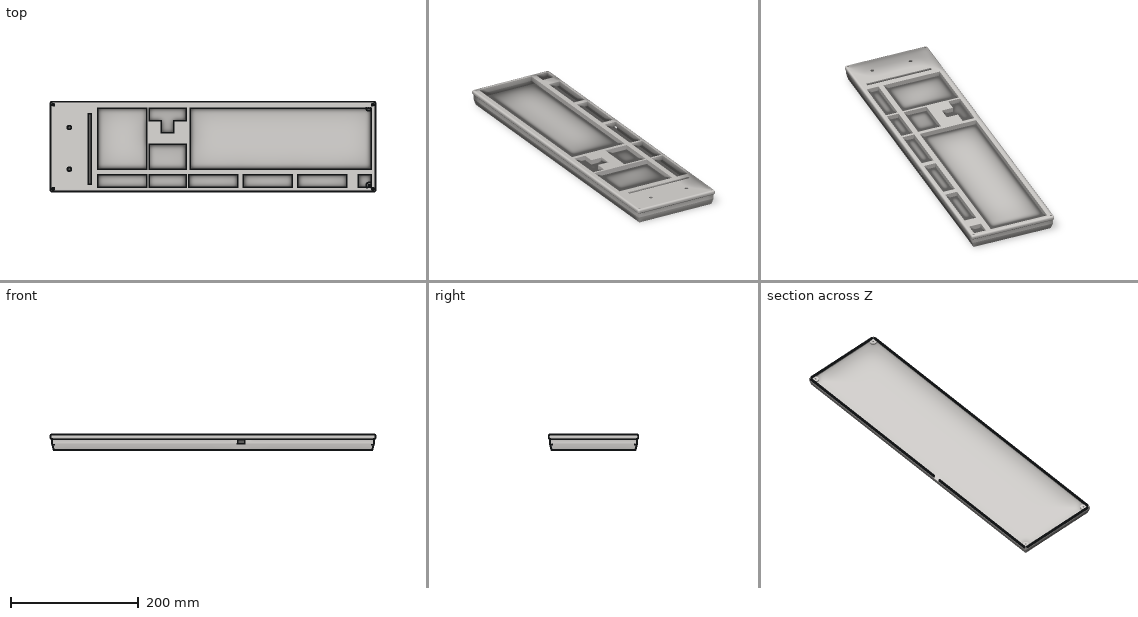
import cadquery as cq
import math

overall_height = 24.6
case_length = 505.0
case_width = 137.0
case_height = 17.0
case_wall = 2.5
taper_height = 10.0
taper_angle = 15.0
floor_top = taper_height
cavity_length = case_length - 2 * case_wall
cavity_width = case_width - 2 * case_wall

standoff_diameter = 10.0
standoff_hole_diameter = 2.8
standoff_height = 3.0
standoff_x = cavity_length / 2 - standoff_diameter / 2
standoff_y = cavity_width / 2 - standoff_diameter / 2

port_center_x = 44.2
port_width = 11.0
port_height = 6.0

lid_length = 510.0
lid_width = 141.0
lid_thickness = overall_height - case_height
lid_edge_radius = 3.0

key_pitch = 19.0
key_clearance = 1.0
key_field_rows = 5
key_field_bottom = -35.4
function_row_bottom = -64.0
key_field_right = 248.0
main_block_left = -36.0
number_pad_left = -180.8
number_pad_columns = 4
middle_block_left = -100.2
middle_block_columns = 3
lower_middle_rows = 2
function_group_left = -38.0
function_group_columns = 4
function_group_count = 3
function_group_pitch = 4.5 * key_pitch

slot_left = -195.7
slot_bottom = -58.7
slot_width = 5.0
slot_length = 110.5

round_hole_diameter = 6.0
round_hole_x = -225.3
round_hole_ys = (30.0, -35.3)

screw_diameter = 3.0
screw_inset = 4.5
screw_hole_bottom = 8.0
screw_x = lid_length / 2 - screw_inset
screw_y = lid_width / 2 - screw_inset


def key_span(keys):
    """Opening size for a run of keys."""
    return keys * key_pitch + key_clearance


def four_corners(x, y):
    return [(-x, -y), (-x, y), (x, -y), (x, y)]


def cylinders(points, diameter, bottom, top):
    """Upright cylinders of one diameter at several places."""
    plane = cq.Workplane("XY").workplane(offset=bottom)
    return plane.pushPoints(points).circle(diameter / 2).extrude(top - bottom)


def block(left, front, length, width, bottom, height):
    """Box placed by its left, front and bottom faces."""
    return cq.Workplane("XY").box(length, width, height, centered=False).translate((left, front, bottom))


def lid_opening(left, front, length, width):
    return block(left, front, length, width, case_height, lid_thickness)


def key_opening(left, front, columns, rows):
    return lid_opening(left, front, key_span(columns), key_span(rows))


def make_screw_holes():
    return cylinders(four_corners(screw_x, screw_y), screw_diameter, screw_hole_bottom, overall_height)


def make_case_shell():
    taper_inset = taper_height * math.tan(math.radians(taper_angle))
    upper = block(-case_length / 2, -case_width / 2, case_length, case_width,
                  taper_height, case_height - taper_height)
    lower = (
        cq.Workplane("XY")
        .rect(case_length - 2 * taper_inset, case_width - 2 * taper_inset)
        .workplane(offset=taper_height)
        .rect(case_length, case_width)
        .loft(ruled=True)
    )
    cavity = block(-cavity_length / 2, -cavity_width / 2, cavity_length, cavity_width,
                   floor_top, case_height - floor_top)
    return upper.union(lower).cut(cavity)


def make_case():
    places = four_corners(standoff_x, standoff_y)
    standoff_top = floor_top + standoff_height
    standoffs = cylinders(places, standoff_diameter, floor_top, standoff_top)
    standoff_holes = cylinders(places, standoff_hole_diameter, floor_top, standoff_top)
    port = block(port_center_x - port_width / 2, -case_width / 2, port_width, case_wall,
                 floor_top, port_height)
    return make_case_shell().union(standoffs).cut(standoff_holes).cut(port).cut(make_screw_holes())


def make_key_openings():
    field_top = key_field_bottom + key_span(key_field_rows)
    openings = [
        lid_opening(main_block_left, key_field_bottom,
                    key_field_right - main_block_left, key_span(key_field_rows)),
        key_opening(number_pad_left, key_field_bottom, number_pad_columns, key_field_rows),
        key_opening(middle_block_left, key_field_bottom, middle_block_columns, lower_middle_rows),
        key_opening(middle_block_left, field_top - key_span(1), middle_block_columns, 1),
        key_opening(middle_block_left + key_pitch, field_top - key_span(2), 1, 2),
        key_opening(number_pad_left, function_row_bottom, number_pad_columns, 1),
        key_opening(middle_block_left, function_row_bottom, middle_block_columns, 1),
        key_opening(key_field_right - key_span(1), function_row_bottom, 1, 1),
    ]
    for group in range(function_group_count):
        left = function_group_left + group * function_group_pitch
        openings.append(key_opening(left, function_row_bottom, function_group_columns, 1))
    return openings


def make_lid():
    lid = block(-lid_length / 2, -lid_width / 2, lid_length, lid_width, case_height, lid_thickness)
    lid = lid.edges().fillet(lid_edge_radius)
    for opening in make_key_openings():
        lid = lid.cut(opening)
    slot = lid_opening(slot_left, slot_bottom, slot_width, slot_length)
    round_hole_places = [(round_hole_x, y) for y in round_hole_ys]
    round_holes = cylinders(round_hole_places, round_hole_diameter, case_height, overall_height)
    return lid.cut(slot).cut(round_holes).cut(make_screw_holes())


case = make_case()
lid = make_lid()
result = cq.Compound.makeCompound([case.solids().val(), lid.solids().val()])